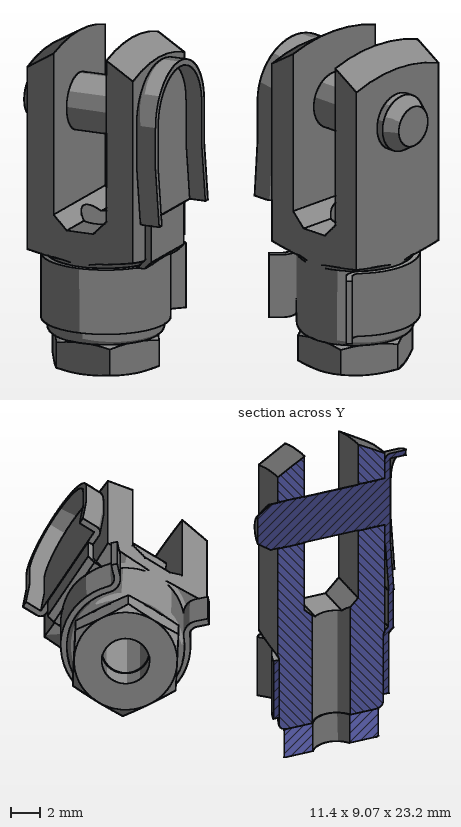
import cadquery as cq
import math

TOTAL_HEIGHT = 23.2
PIN_AXIS_Z = 18.21
PIN_DIAMETER = 4.0

NUT_HEIGHT = 2.23
NUT_ACROSS_FLATS = 7.0
NUT_BORE = 3.25
NUT_CHAMFER_ANGLE = 21.0

FORK_WIDTH = 8.0
SLOT_WIDTH = 4.0
SLOT_FLOOR_Z = 10.18
SLOT_CHAMFER = 1.0
FORK_BORE = 3.35
TOP_RADIUS = 13.22
TOP_BEVEL_ANGLE = 30.0
NECK_RADIUS = FORK_WIDTH / 2
NECK_BOTTOM_FILLET = 0.45
SHOULDER_Z = 7.75
SHOULDER_STEP = 0.28
SHOULDER_ANGLE = 15.6
SHOULDER_FILLET = 0.35

SHEET = 0.42
RING_INNER = NECK_RADIUS
RING_OUTER = RING_INNER + SHEET
RING_HEIGHT = 4.55
RING_TOP = SHOULDER_Z
BEND_RADIUS = 0.58
TAB_LENGTH = 0.88
TAB_FACE_OFFSET = 0.28
ARM_HALF_WIDTH = 2.55
ARM_INNER_X = 4.25
ARM_BEND_Z = 8.42
LUG_HALF_WIDTH = 1.4
LUG_HEIGHT = 0.35
TRAY_RADIUS = 3.78
TRAY_DEPTH = 1.6
TRAY_FILLET = 0.46
TRAY_BEND_Z = 15.25
TRAY_END_Z = 11.23
TRAY_TILT = 0.28
PIN_TIP_X = -5.5
PIN_TIP_LENGTH = 0.97
PIN_TIP_DIAMETER = 2.83


def make_nut():
    """Hexagon nut with its corners bevelled at both ends."""
    flat_radius = NUT_ACROSS_FLATS / 2
    corner_radius = flat_radius / math.cos(math.pi / 6)
    rise = (corner_radius - flat_radius) * math.tan(math.radians(NUT_CHAMFER_ANGLE))
    hexagon = cq.Workplane("XY").polygon(6, 2 * corner_radius).extrude(NUT_HEIGHT)
    envelope = (
        cq.Workplane("XZ")
        .polyline([
            (0, 0),
            (flat_radius, 0),
            (corner_radius, rise),
            (corner_radius, NUT_HEIGHT - rise),
            (flat_radius, NUT_HEIGHT),
            (0, NUT_HEIGHT),
        ])
        .close()
        .revolve(360, (0, 0, 0), (0, 1, 0))
    )
    bore = cq.Workplane("XY").circle(NUT_BORE / 2).extrude(NUT_HEIGHT)
    return hexagon.intersect(envelope).cut(bore)


def make_fork_envelope():
    """Turned shape: round neck flaring through a fillet and a cone to the square."""
    reach = FORK_WIDTH
    slope = math.radians(SHOULDER_ANGLE)
    cone_start_z = SHOULDER_Z + SHOULDER_STEP
    cone_end_z = cone_start_z + (reach - NECK_RADIUS) * math.tan(slope)
    tangent = SHOULDER_FILLET * math.tan((math.pi / 2 - slope) / 2)
    center_x = NECK_RADIUS + SHOULDER_FILLET
    center_z = cone_start_z - tangent
    middle_angle = (math.pi + math.pi / 2 + slope) / 2
    fillet_middle = (
        center_x + SHOULDER_FILLET * math.cos(middle_angle),
        center_z + SHOULDER_FILLET * math.sin(middle_angle),
    )
    fillet_end = (
        NECK_RADIUS + tangent * math.cos(slope),
        cone_start_z + tangent * math.sin(slope),
    )
    turned = (
        cq.Workplane("XZ")
        .moveTo(0, NUT_HEIGHT)
        .lineTo(NECK_RADIUS, NUT_HEIGHT)
        .lineTo(NECK_RADIUS, center_z)
        .threePointArc(fillet_middle, fillet_end)
        .lineTo(reach, cone_end_z)
        .lineTo(reach, TOTAL_HEIGHT)
        .lineTo(0, TOTAL_HEIGHT)
        .close()
        .revolve(360, (0, 0, 0), (0, 1, 0))
    )
    return turned.faces("<Z").edges().fillet(NECK_BOTTOM_FILLET)


def make_fork_crown():
    """Solid of revolution about a line along X that rounds and bevels the fork top."""
    half_slot = SLOT_WIDTH / 2
    half_width = FORK_WIDTH / 2
    drop = (half_width - half_slot) * math.tan(math.radians(TOP_BEVEL_ANGLE))
    axis_z = TOTAL_HEIGHT - TOP_RADIUS
    return (
        cq.Workplane("XZ")
        .polyline([
            (-half_width, axis_z),
            (-half_width, TOTAL_HEIGHT - drop),
            (-half_slot, TOTAL_HEIGHT),
            (half_slot, TOTAL_HEIGHT),
            (half_width, TOTAL_HEIGHT - drop),
            (half_width, axis_z),
        ])
        .close()
        .revolve(360, (0, axis_z, 0), (1, axis_z, 0))
    )


def make_fork():
    """Square fork with a round neck, chamfered slot, cross hole and axial bore."""
    height = TOTAL_HEIGHT - NUT_HEIGHT
    block = (
        cq.Workplane("XY", origin=(0, 0, NUT_HEIGHT))
        .rect(FORK_WIDTH, FORK_WIDTH)
        .extrude(height)
    )
    slot = (
        cq.Workplane("XY", origin=(0, 0, SLOT_FLOOR_Z))
        .rect(SLOT_WIDTH, FORK_WIDTH)
        .extrude(height)
        .faces("<Z")
        .edges("|Y")
        .chamfer(SLOT_CHAMFER)
    )
    cross_hole = (
        cq.Workplane("YZ", origin=(0, 0, PIN_AXIS_Z))
        .circle(PIN_DIAMETER / 2)
        .extrude(FORK_WIDTH / 2, both=True)
    )
    bore = (
        cq.Workplane("XY", origin=(0, 0, NUT_HEIGHT))
        .circle(FORK_BORE / 2)
        .extrude(SLOT_FLOOR_Z + SLOT_CHAMFER - NUT_HEIGHT)
    )
    body = block.intersect(make_fork_crown()).intersect(make_fork_envelope())
    return body.cut(slot).cut(cross_hole).cut(bore)


def polar(center, radius, angle):
    """Point at a radius and an angle (radians) about a center."""
    return (center[0] + radius * math.cos(angle), center[1] + radius * math.sin(angle))


def mirrored(point):
    """Point reflected from the -X half to the +X half."""
    return (-point[0], point[1])


def make_ring():
    """Open ring whose two ends bend outward into 45 degree tabs on the +Y side."""
    axis = (0, 0)
    tab_angle = math.radians(45)
    center_distance = RING_OUTER + BEND_RADIUS
    bend_angle = math.acos((TAB_FACE_OFFSET - BEND_RADIUS) / center_distance) + tab_angle
    bend = polar(axis, center_distance, bend_angle)
    bend_middle = (bend_angle - math.pi + tab_angle) / 2
    along_tab = math.radians(135)
    bend_outer = BEND_RADIUS + SHEET

    near_ring = polar(axis, RING_OUTER, bend_angle)
    near_middle = polar(bend, BEND_RADIUS, bend_middle)
    near_tab = polar(bend, BEND_RADIUS, tab_angle)
    near_tip = polar(near_tab, TAB_LENGTH, along_tab)
    far_ring = polar(axis, RING_INNER, bend_angle)
    far_middle = polar(bend, bend_outer, bend_middle)
    far_tab = polar(bend, bend_outer, tab_angle)
    far_tip = polar(far_tab, TAB_LENGTH, along_tab)

    return (
        cq.Workplane("XY", origin=(0, 0, RING_TOP - RING_HEIGHT))
        .moveTo(*near_tip)
        .lineTo(*near_tab)
        .threePointArc(near_middle, near_ring)
        .threePointArc((0, -RING_OUTER), mirrored(near_ring))
        .threePointArc(mirrored(near_middle), mirrored(near_tab))
        .lineTo(*mirrored(near_tip))
        .lineTo(*mirrored(far_tip))
        .lineTo(*mirrored(far_tab))
        .threePointArc(mirrored(far_middle), mirrored(far_ring))
        .threePointArc((0, -RING_INNER), far_ring)
        .threePointArc(far_middle, far_tab)
        .lineTo(*far_tip)
        .close()
        .extrude(RING_HEIGHT)
    )


def make_arm():
    """Strip rising from the ring: a 45 degree foot, then straight up to the tray."""
    outer_x = ARM_INNER_X + SHEET
    foot_rise = ARM_BEND_Z - RING_TOP
    bend_offset = SHEET * math.tan(math.radians(22.5))
    strip = (
        cq.Workplane("XZ")
        .polyline([
            (ARM_INNER_X - foot_rise, RING_TOP),
            (ARM_INNER_X, ARM_BEND_Z),
            (ARM_INNER_X, TRAY_END_Z),
            (outer_x, TRAY_END_Z),
            (outer_x, ARM_BEND_Z - bend_offset),
            (outer_x - foot_rise + bend_offset, RING_TOP),
        ])
        .close()
        .extrude(ARM_HALF_WIDTH, both=True)
    )
    lug_zone = (
        cq.Workplane("XY", origin=(0, 0, RING_TOP))
        .center(RING_OUTER / 2, 0)
        .rect(RING_OUTER, 2 * LUG_HALF_WIDTH)
        .extrude(LUG_HEIGHT)
    )
    lug = (
        cq.Workplane("XY", origin=(0, 0, RING_TOP))
        .circle(RING_OUTER)
        .circle(RING_INNER)
        .extrude(LUG_HEIGHT)
        .intersect(lug_zone)
    )
    return strip.union(lug)


def tray_block(radius, depth, floor_x):
    """Round-topped block along X whose lower part tilts outward."""
    straight = (
        cq.Workplane("YZ", origin=(floor_x, 0, 0))
        .moveTo(-radius, TRAY_BEND_Z)
        .lineTo(-radius, PIN_AXIS_Z)
        .threePointArc((0, PIN_AXIS_Z + radius), (radius, PIN_AXIS_Z))
        .lineTo(radius, TRAY_BEND_Z)
        .close()
        .extrude(depth)
    )
    tilted = (
        cq.Workplane("XZ")
        .polyline([
            (floor_x, TRAY_BEND_Z),
            (floor_x + depth, TRAY_BEND_Z),
            (floor_x + depth + TRAY_TILT, TRAY_END_Z),
            (floor_x + TRAY_TILT, TRAY_END_Z),
        ])
        .close()
        .extrude(radius, both=True)
    )
    return straight.union(tilted)


def make_tray():
    """Sheet tray with a rim round its top and sides, open toward +X and at the bottom."""
    floor_x = FORK_WIDTH / 2
    outside = tray_block(TRAY_RADIUS, TRAY_DEPTH, floor_x)
    inside = tray_block(TRAY_RADIUS - SHEET, TRAY_DEPTH, floor_x + SHEET)
    floor_outline = cq.selectors.BoxSelector(
        (floor_x - SHEET, -2 * TRAY_RADIUS, TRAY_END_Z + SHEET),
        (floor_x + TRAY_TILT, 2 * TRAY_RADIUS, TOTAL_HEIGHT),
    )
    outside = outside.edges(floor_outline).edges("not(|Y)").fillet(TRAY_FILLET)
    return outside.cut(inside)


def make_pin():
    """Pin from its tapered tip to the tray floor."""
    radius = PIN_DIAMETER / 2
    end_x = FORK_WIDTH / 2 + SHEET
    return (
        cq.Workplane("XZ", origin=(0, 0, PIN_AXIS_Z))
        .polyline([
            (PIN_TIP_X, 0),
            (PIN_TIP_X, PIN_TIP_DIAMETER / 2),
            (PIN_TIP_X + PIN_TIP_LENGTH, radius),
            (end_x, radius),
            (end_x, 0),
        ])
        .close()
        .revolve(360, (0, 0, 0), (1, 0, 0))
    )


def make_clip(fork_body):
    """One-piece clip; the foot of its arm is trimmed to lie against the fork."""
    arm = make_arm().cut(fork_body)
    return make_ring().union(arm).union(make_tray()).union(make_pin())


nut = make_nut()
fork = make_fork()
clip = make_clip(fork)

result = cq.Compound.makeCompound([nut.val(), fork.val(), *clip.vals()])